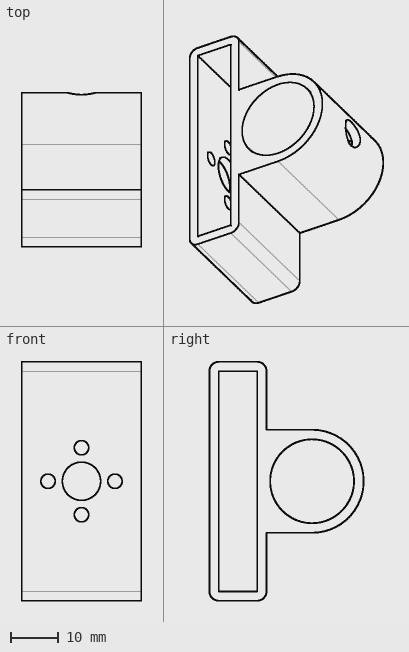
import cadquery as cq

length = 25.0
sleeve_height = 50.0
sleeve_depth = 12.0
wall = 2.0
corner_radius = 2.0

tube_radius = 10.8
bore_radius = 8.75
tube_center_y = 21.5

center_hole_diameter = 8.0
small_hole_diameter = 3.0
small_hole_offset = 7.0

rear_hole_diameter = 6.0


def block(depth, height, start_y):
    """Full-length block centred on X and Z, starting at start_y."""
    return cq.Workplane("XY").box(length, depth, height).translate((0, start_y + depth / 2, 0))


def rod(radius):
    """Full-length cylinder on the tube axis."""
    return cq.Workplane("YZ").center(tube_center_y, 0).circle(radius).extrude(length / 2, both=True)


def cross_hole(diameter, start_y, depth, x=0, z=0):
    """Cylinder along +Y used to cut a hole."""
    axis_start = cq.Vector(x, start_y, z)
    return cq.Workplane(cq.Solid.makeCylinder(diameter / 2, depth, axis_start, cq.Vector(0, 1, 0)))


sleeve = block(sleeve_depth, sleeve_height, 0).edges("|X").fillet(corner_radius)
web_start = sleeve_depth - wall
web = block(tube_center_y - web_start, 2 * tube_radius, web_start)
body = sleeve.union(web).union(rod(tube_radius))

opening = block(sleeve_depth - 2 * wall, sleeve_height - 2 * wall, wall)
body = body.cut(opening).cut(rod(bore_radius))

body = body.cut(cross_hole(center_hole_diameter, 0, wall))
for side in (-small_hole_offset, small_hole_offset):
    body = body.cut(cross_hole(small_hole_diameter, 0, wall, x=side))
    body = body.cut(cross_hole(small_hole_diameter, 0, wall, z=side))

result = body.cut(cross_hole(rear_hole_diameter, tube_center_y, tube_radius))